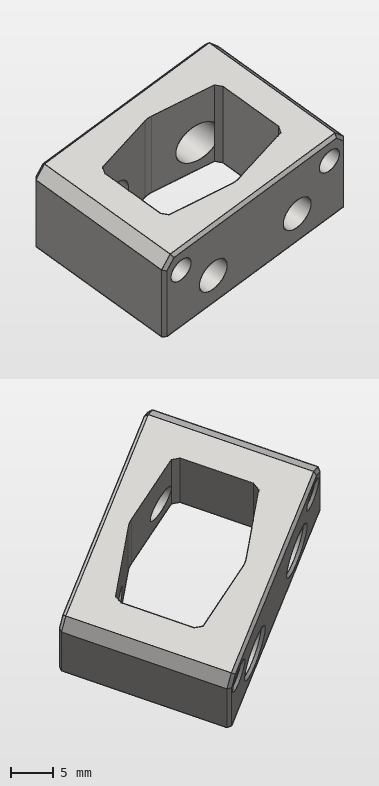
import cadquery as cq

LENGTH_X = 21.89
LENGTH_Y = 30.8
HEIGHT = 13.21

BEVEL_Y = 1.45
BEVEL_Z = 1.68
END_CHAMFER = 0.44

POCKET_CENTER_X = 0.33
POCKET_HALF_LENGTH = 10.0
POCKET_HALF_WIDTH = 7.38
POCKET_SHOULDER_X = 5.55
POCKET_END_HALF_WIDTH = 4.65
POCKET_APEX_RADIUS = 3.0

SMALL_DIAMETER = 3.4
SMALL_SPACING = 25.1
SMALL_HEIGHT = 9.73

WIDE_DIAMETER = 6.2
NARROW_DIAMETER = 4.7
LARGE_SPACING = 14.2
LARGE_HEIGHT = 4.7

MOUTH_CHAMFER = 0.4

POCKET_SHOULDER_Y = (LARGE_SPACING + NARROW_DIAMETER) / 2

ENTRY_X = -LENGTH_X / 2
WIDE_DEPTH = POCKET_CENTER_X - POCKET_SHOULDER_X - ENTRY_X


def make_block():
    """Block with bevelled long upper edges and chamfered end faces, base left sharp."""
    half_y = LENGTH_Y / 2
    profile = [
        (-half_y, 0),
        (half_y, 0),
        (half_y, HEIGHT - BEVEL_Z),
        (half_y - BEVEL_Y, HEIGHT),
        (-half_y + BEVEL_Y, HEIGHT),
        (-half_y, HEIGHT - BEVEL_Z),
    ]
    block = cq.Workplane("YZ").polyline(profile).close().extrude(LENGTH_X / 2, both=True)
    return block.faces("<X or >X").edges("not <Z").chamfer(END_CHAMFER)


def make_pocket():
    """Cutter for the pocket, with the two side apexes rounded."""
    quarter = [
        (POCKET_HALF_WIDTH, 0),
        (POCKET_SHOULDER_X, POCKET_SHOULDER_Y),
        (POCKET_END_HALF_WIDTH, POCKET_HALF_LENGTH),
    ]
    upper_half = quarter + [(-x, y) for x, y in reversed(quarter)]
    lower_half = [(x, -y) for x, y in reversed(upper_half[1:-1])]
    pocket = cq.Workplane("XY").polyline(upper_half + lower_half).close().extrude(HEIGHT)
    pocket = pocket.edges("|Z and (<X or >X)").fillet(POCKET_APEX_RADIUS)
    return pocket.translate((POCKET_CENTER_X, 0, 0))


def make_bore(y, z, diameter, depth):
    """Cylinder running along +X from the -X face."""
    return cq.Workplane("YZ", origin=(ENTRY_X, y, z)).circle(diameter / 2).extrude(depth)


def make_mouth(y, z, diameter):
    """45 degree cone cutter that chamfers a hole's mouth on the -X face."""
    radius = diameter / 2
    cone = cq.Solid.makeCone(
        radius + MOUTH_CHAMFER, radius, MOUTH_CHAMFER, cq.Vector(ENTRY_X, y, z), cq.Vector(1, 0, 0)
    )
    return cq.Workplane(obj=cone)


result = make_block().cut(make_pocket())

for side in (-1, 1):
    small_y = side * SMALL_SPACING / 2
    result = result.cut(make_bore(small_y, SMALL_HEIGHT, SMALL_DIAMETER, LENGTH_X))
    result = result.cut(make_mouth(small_y, SMALL_HEIGHT, SMALL_DIAMETER))

    large_y = side * LARGE_SPACING / 2
    result = result.cut(make_bore(large_y, LARGE_HEIGHT, NARROW_DIAMETER, LENGTH_X))
    result = result.cut(make_bore(large_y, LARGE_HEIGHT, WIDE_DIAMETER, WIDE_DEPTH))
    result = result.cut(make_mouth(large_y, LARGE_HEIGHT, WIDE_DIAMETER))